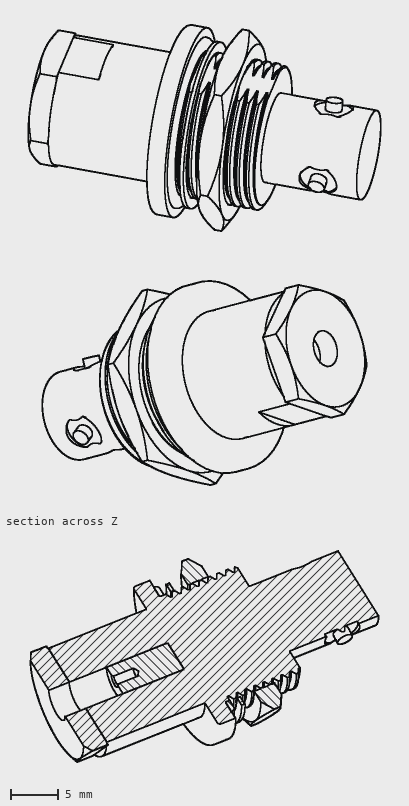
import cadquery as cq
import math


total_length = 35.81
clamp_nut_length = 2.42
wrench_flat_end = 6.84
flange_start = 14.09
flange_end = 16.15
gasket_thickness = 0.49
washer_start = 17.44
washer_thickness = 0.42
panel_nut_start = 19.47
panel_nut_length = 2.47
thread_end = 25.26
lug_station = 31.52

barrel_radius = 7.0
flange_radius = 10.26
flange_round = 0.35
gasket_radius = 9.26
gasket_round = 0.45
washer_radius = 9.01
tube_radius = 4.84
bore_radius = 1.925

clamp_nut_flats = 12.7
panel_nut_flats = 19.05
nut_chamfer_angle = 30.0
corner_clearance = 0.1

thread_start = flange_end + gasket_thickness
thread_radius = 7.88
thread_root_radius = 7.29
thread_pitch = 25.4 / 24
groove_root_width = 0.16
groove_mouth_width = 0.78
thread_flat_height = 7.2
thread_end_chamfer = 0.3
groove_overshoot = 0.2
last_groove_station = 25.43
groove_turns = 10
groove_gap_angle = 8.0

lug_count = 3
first_lug_angle = 70.0
lug_radius = 0.89
lug_tip_radius = 5.48
lug_seat_radius = 2.07
lug_seat_height = 4.41
cam_groove_width = 2.28
cam_groove_depth = 0.15

contact_start = wrench_flat_end
contact_end = flange_start
contact_hole_radius = 0.55
contact_hole_depth = 2.5
contact_lead_in = 0.2
drill_tip_half_angle = 59.0


def disc(start, length, radius):
    return cq.Workplane("YZ", origin=(start, 0, 0)).circle(radius).extrude(length)


def ring(start, length, outer_radius, inner_radius):
    return disc(start, length, outer_radius).cut(disc(start, length, inner_radius))


def hex_prism(start, length, across_flats):
    """Hexagon with flats facing +Z and -Z and corners on the Y axis."""
    corner_diameter = across_flats / math.cos(math.pi / 6)
    return cq.Workplane("YZ", origin=(start, 0, 0)).polygon(6, corner_diameter).extrude(length)


def hex_chamfer_envelope(start, length, across_flats, both_ends):
    """Turned blank whose conical ends trim the corners of a hex nut."""
    face_radius = across_flats / 2
    blank_radius = across_flats / math.cos(math.pi / 6) / 2 + corner_clearance
    cone_length = (blank_radius - face_radius) * math.tan(math.radians(nut_chamfer_angle))
    end = start + length
    outline = cq.Workplane("XY").moveTo(start, 0).lineTo(start, face_radius)
    outline = outline.lineTo(start + cone_length, blank_radius)
    if both_ends:
        outline = outline.lineTo(end - cone_length, blank_radius).lineTo(end, face_radius)
    else:
        outline = outline.lineTo(end, blank_radius)
    return outline.lineTo(end, 0).close().revolve(360, (0, 0, 0), (1, 0, 0))


def hex_nut(start, length, across_flats, hole_radius, both_ends):
    nut = hex_prism(start, length, across_flats)
    nut = nut.intersect(hex_chamfer_envelope(start, length, across_flats, both_ends))
    return nut.cut(disc(start, length, hole_radius))


def groove_turn():
    """Cutter for one turn of the thread groove, its ends lying in the gap above the thread flat.

    Four ruled flanks run between helices about Z, starting beside +X, and are capped at both ends.
    The turn is then laid along X with the gap facing +Z and the middle of the turn at X = 0, on -Z.
    """
    root_half = groove_root_width / 2
    mouth_half = groove_mouth_width / 2
    flank_slope = (mouth_half - root_half) / (thread_radius - thread_root_radius)
    outer_half = mouth_half + flank_slope * groove_overshoot
    outer_radius = thread_radius + groove_overshoot
    section = [
        (thread_root_radius, -root_half),
        (outer_radius, -outer_half),
        (outer_radius, outer_half),
        (thread_root_radius, root_half),
    ]
    swept_angle = 360 - groove_gap_angle
    advance = thread_pitch * swept_angle / 360
    helices = [
        cq.Wire.makeHelix(thread_pitch, advance, radius, center=cq.Vector(0, 0, z))
        for radius, z in section
    ]
    faces = [cq.Face.makeRuledSurface(helices[i - 1], helices[i]) for i in range(len(helices))]
    for angle, rise in ((0, 0), (math.radians(swept_angle), advance)):
        corners = [
            cq.Vector(radius * math.cos(angle), radius * math.sin(angle), z + rise)
            for radius, z in section
        ]
        faces.append(cq.Face.makeFromWires(cq.Wire.makePolygon(corners, close=True)))
    turn = cq.Workplane(cq.Solid.makeSolid(cq.Shell.makeShell(faces)))
    turn = turn.translate((0, 0, -advance / 2)).rotate((0, 0, 0), (0, 1, 0), 90)
    return turn.rotate((0, 0, 0), (1, 0, 0), 180 + groove_gap_angle / 2)


def threaded_sleeve():
    """Threaded length with a flat on top that interrupts every turn of the groove."""
    length = thread_end - thread_start
    above_flat = cq.Workplane("XY", origin=(thread_start, 0, thread_flat_height)).box(
        length, 2 * thread_radius, thread_radius, centered=(False, True, False))
    blank = disc(thread_start, length, thread_radius).faces(">X").edges().chamfer(thread_end_chamfer)
    sleeve = blank.rotate((0, 0, 0), (1, 0, 0), 90).cut(above_flat)
    turn = groove_turn()
    for i in range(groove_turns):
        sleeve = sleeve.cut(turn.translate((last_groove_station - i * thread_pitch, 0, 0)))
    return sleeve


def barrel():
    """Rear barrel with two wrench flats level with the flats of the clamp nut."""
    blank = disc(clamp_nut_length, flange_start - clamp_nut_length, barrel_radius)
    flat_length = wrench_flat_end - clamp_nut_length
    slab = cq.Workplane("XY", origin=(clamp_nut_length, 0, 0)).box(
        flat_length, 2 * barrel_radius, clamp_nut_flats, centered=(False, True, True))
    front = disc(wrench_flat_end, flange_start - wrench_flat_end, barrel_radius)
    return blank.intersect(slab.union(front))


def flange():
    blank = disc(flange_start, flange_end - flange_start, flange_radius)
    return blank.faces("<X").edges().fillet(flange_round)


def cam_groove():
    """Shallow round-bottomed groove around the tube."""
    half_width = cam_groove_width / 2
    outer_radius = tube_radius + cam_groove_depth
    section = (
        cq.Workplane("XY")
        .moveTo(lug_station - half_width, outer_radius)
        .lineTo(lug_station - half_width, tube_radius)
        .threePointArc((lug_station, tube_radius - cam_groove_depth), (lug_station + half_width, tube_radius))
        .lineTo(lug_station + half_width, outer_radius)
        .close()
    )
    return section.revolve(360, (0, 0, 0), (1, 0, 0))


def radial_cylinder(bottom, top, radius, angle):
    """Cylinder pointing outward at the lug station, its angle measured from +Y towards +Z."""
    post = cq.Workplane("XZ", origin=(lug_station, bottom, 0)).circle(radius).extrude(-(top - bottom))
    return post.rotate((0, 0, 0), (1, 0, 0), angle)


def bayonet_tube():
    tube = disc(thread_end, total_length - thread_end, tube_radius).cut(cam_groove())
    angles = [first_lug_angle + i * 360 / lug_count for i in range(lug_count)]
    for angle in angles:
        tube = tube.cut(radial_cylinder(lug_seat_height, lug_tip_radius, lug_seat_radius, angle))
    for angle in angles:
        tube = tube.union(radial_cylinder(0, lug_tip_radius, lug_radius, angle))
    return tube


def make_body():
    neck = disc(flange_end, gasket_thickness, thread_radius)
    body = barrel().union(flange()).union(neck).union(threaded_sleeve()).union(bayonet_tube())
    return body.cut(disc(clamp_nut_length, contact_end - clamp_nut_length, bore_radius))


def make_contact():
    """Contact filling the end of the bore, with a chamfered hole that has a drilled tip."""
    contact = disc(contact_start, contact_end - contact_start, bore_radius)
    mouth_radius = contact_hole_radius + contact_lead_in
    tip_length = contact_hole_radius / math.tan(math.radians(drill_tip_half_angle))
    hole_end = contact_start + contact_hole_depth
    hole = cq.Workplane("XY").polyline([
        (contact_start, 0),
        (contact_start, mouth_radius),
        (contact_start + contact_lead_in, contact_hole_radius),
        (hole_end, contact_hole_radius),
        (hole_end + tip_length, 0),
    ]).close().revolve(360, (0, 0, 0), (1, 0, 0))
    return contact.cut(hole)


def make_gasket():
    gasket = disc(flange_end, gasket_thickness, gasket_radius).faces(">X").edges().fillet(gasket_round)
    return gasket.cut(disc(flange_end, gasket_thickness, thread_radius))


body = make_body()
contact = make_contact()
clamp_nut = hex_nut(0, clamp_nut_length, clamp_nut_flats, bore_radius, both_ends=False)
gasket = make_gasket()
lock_washer = ring(washer_start, washer_thickness, washer_radius, thread_radius)
panel_nut = hex_nut(panel_nut_start, panel_nut_length, panel_nut_flats, thread_radius, both_ends=True)

result = cq.Compound.makeCompound([
    body.val(),
    contact.val(),
    clamp_nut.val(),
    gasket.val(),
    lock_washer.val(),
    panel_nut.val(),
])